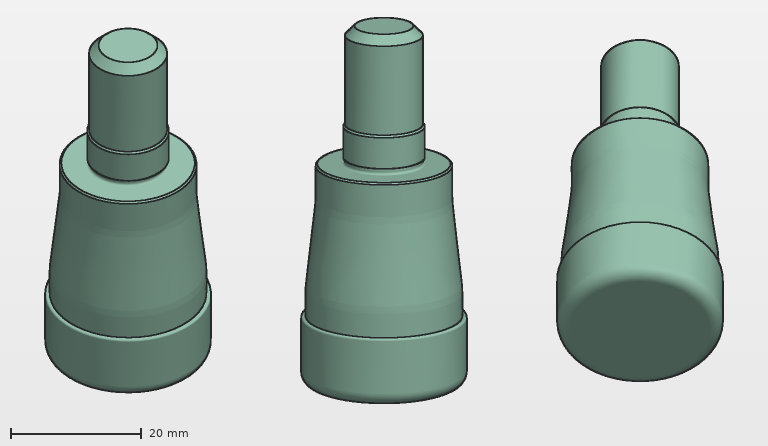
import cadquery as cq

total_height = 57.0

cap_radius = 12.7
cap_height = 10.8
cap_top_fillet = 0.35
cap_bottom_fillet = 2.0

barrel_top = 35.0
barrel_lower_radius = 12.0
barrel_upper_radius = 10.5
taper_bottom = 15.15
taper_top = 29.0
taper_blend_radius = 10.85
barrel_top_chamfer = 0.3

shank_radius = 6.0
tip_chamfer = 1.5
collar_radius = 6.25
collar_bottom = 36.0
collar_top = 41.3
collar_chamfer = 0.35
neck_top_fillet = 0.2
neck_base_fillet = 0.4


def circles_at(part, height, radius):
    """Select the circular edges of a turned part with the given height and radius."""
    tolerance = 0.005
    reach = radius + tolerance
    at_height = part.edges(
        cq.selectors.BoxSelector(
            (-reach, -reach, height - tolerance),
            (reach, reach, height + tolerance),
            boundingbox=True,
        )
    )
    return at_height.filter(
        lambda edge: edge.geomType() == "CIRCLE" and abs(edge.radius() - radius) < tolerance
    )


def make_cap():
    """Plain disc with both rims rounded."""
    cap = cq.Workplane("XY").circle(cap_radius).extrude(cap_height)
    cap = cap.faces(">Z").edges().fillet(cap_top_fillet)
    return cap.faces("<Z").edges().fillet(cap_bottom_fillet)


def make_stud():
    """Turned barrel and shank in one piece."""
    profile = [
        (0, cap_height),
        (barrel_lower_radius, cap_height),
        (barrel_lower_radius, taper_bottom),
        (barrel_upper_radius, taper_top),
        (barrel_upper_radius, barrel_top),
        (shank_radius, barrel_top),
        (shank_radius, collar_bottom),
        (collar_radius, collar_bottom),
        (collar_radius, collar_top - collar_chamfer),
        (shank_radius, collar_top),
        (shank_radius, total_height - tip_chamfer),
        (shank_radius - tip_chamfer, total_height),
        (0, total_height),
    ]
    stud = cq.Workplane("XZ").polyline(profile).close().revolve(360, (0, 0), (0, 1))

    stud = circles_at(stud, taper_bottom, barrel_lower_radius).fillet(taper_blend_radius)
    stud = circles_at(stud, taper_top, barrel_upper_radius).fillet(taper_blend_radius)

    stud = circles_at(stud, barrel_top, barrel_upper_radius).chamfer(barrel_top_chamfer)

    stud = circles_at(stud, barrel_top, shank_radius).fillet(neck_base_fillet)
    return circles_at(stud, collar_bottom, shank_radius).fillet(neck_top_fillet)


cap = make_cap()
stud = make_stud()

result = cq.Compound.makeCompound([cap.val(), stud.val()])